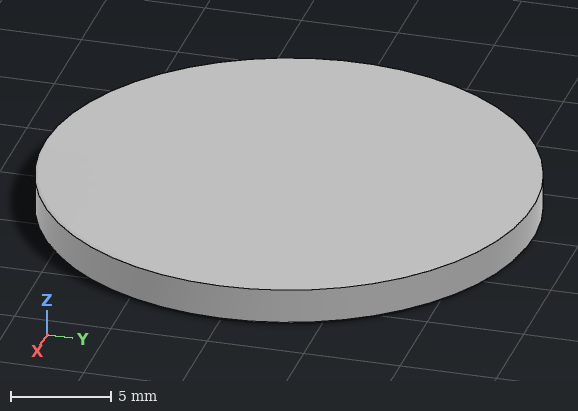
import cadquery as cq

diameter = 25.4
centre_thickness = 3.78
rim_top = 1.95
dome_start = 2.03
bevel_width = 0.15
bottom_bevel_height = 0.15

radius = diameter / 2
face_radius = radius - bevel_width

sagitta = centre_thickness - dome_start
dome_radius = (face_radius**2 + sagitta**2) / (2 * sagitta)

mid_radius = face_radius / 2
mid_height = centre_thickness - dome_radius + (dome_radius**2 - mid_radius**2) ** 0.5

half_section = (
    cq.Workplane("XZ")
    .lineTo(face_radius, 0)
    .lineTo(radius, bottom_bevel_height)
    .lineTo(radius, rim_top)
    .lineTo(face_radius, dome_start)
    .threePointArc((mid_radius, mid_height), (0, centre_thickness))
    .close()
)
result = half_section.revolve(360, (0, 0, 0), (0, 1, 0))